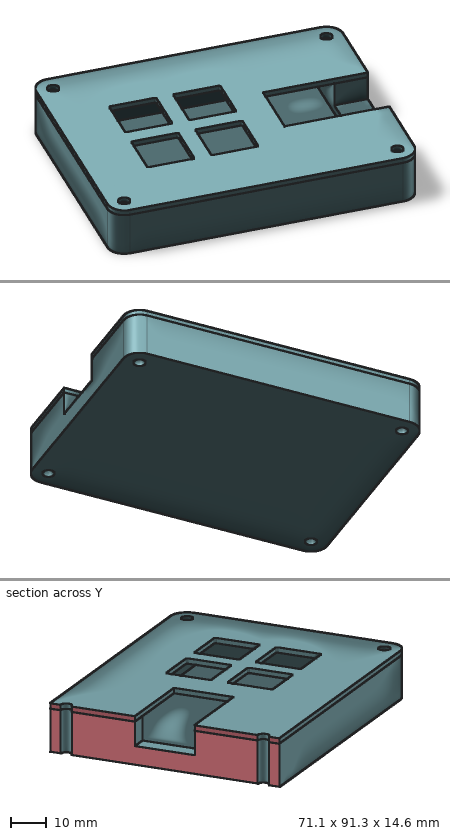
import cadquery as cq

width = 71.07
length = 91.34
height = 14.6
corner_radius = 5.0

plate_thickness = 1.6
tray_height = height - plate_thickness

wall_thickness = 10.0
floor_thickness = 3.0
cavity_width = width - 2 * wall_thickness
cavity_length = length - 2 * wall_thickness

opening_width = 18.4
opening_length = 31.2
sill_height = 5.7

screw_hole_diameter = 3.4
screw_spacing_x = width - 2 * corner_radius
screw_spacing_y = length - 2 * corner_radius

key_size = 14.0
key_pitch = 19.05
key_corner_radius = 0.5
key_grid_y = -12.35
keys_per_side = 2


def rounded_slab(base_z, thickness):
    """Slab with the enclosure outline and its four screw holes."""
    return (
        cq.Workplane("XY", origin=(0, 0, base_z))
        .rect(width, length)
        .extrude(thickness)
        .edges("|Z")
        .fillet(corner_radius)
        .faces(">Z")
        .workplane(origin=(0, 0, 0))
        .rect(screw_spacing_x, screw_spacing_y, forConstruction=True)
        .vertices()
        .hole(screw_hole_diameter)
    )


def box_above(size_x, size_y, center_y, base_z):
    """Cutting block centred in X that reaches from base_z to the top of the enclosure."""
    return (
        cq.Workplane("XY", origin=(0, center_y, base_z))
        .rect(size_x, size_y)
        .extrude(height - base_z)
    )


def make_tray():
    """Lower housing with a cavity and a notch through the +Y wall."""
    cavity = box_above(cavity_width, cavity_length, 0, floor_thickness)
    notch_center_y = (length - wall_thickness) / 2
    notch = box_above(opening_width, wall_thickness, notch_center_y, sill_height)
    return rounded_slab(0, tray_height).cut(cavity).cut(notch)


def make_cover():
    """Cover plate with the connector opening and the key openings."""
    opening_center_y = (length - opening_length) / 2
    opening = box_above(opening_width, opening_length, opening_center_y, tray_height)
    keys = (
        cq.Workplane("XY", origin=(0, key_grid_y, tray_height))
        .rarray(key_pitch, key_pitch, keys_per_side, keys_per_side)
        .rect(key_size, key_size)
        .extrude(plate_thickness)
        .edges("|Z")
        .fillet(key_corner_radius)
    )
    return rounded_slab(tray_height, plate_thickness).cut(opening).cut(keys)


tray = make_tray()
cover = make_cover()

result = cq.Compound.makeCompound([tray.val(), cover.val()])